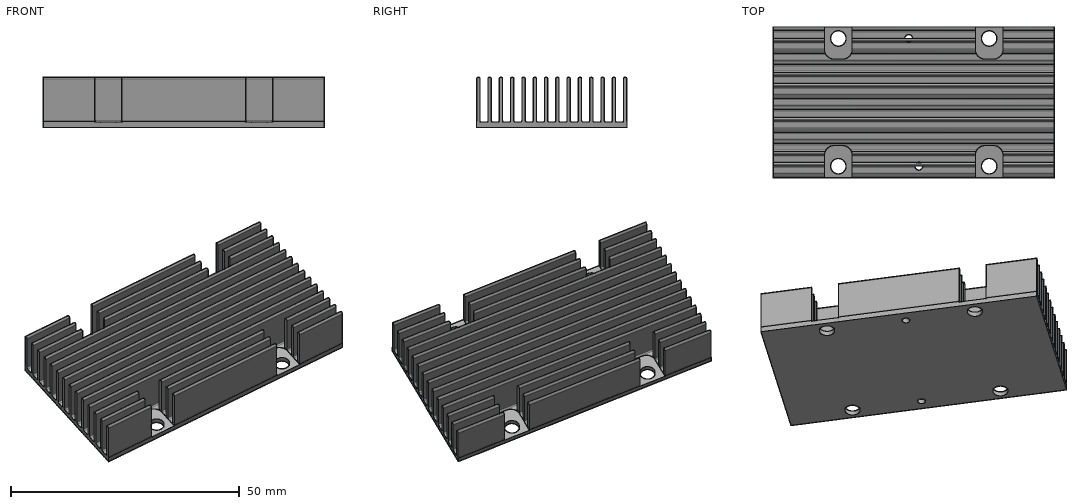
import cadquery as cq
import math

length = 61.5
width = 32.95
height = 11.0

floor_height = 1.2
fin_count = 14
edge_inset = 0.05
root_radius = 0.26
tip_radius = 0.375
tip_flat = 0.01
fin_thickness = 2 * tip_radius + tip_flat
fin_pitch = (width - 2 * edge_inset - fin_thickness) / (fin_count - 1)

screw_x = 16.5
hole_y = 13.95
screw_diameter = 3.3
pocket_width = 6.0
pocket_depth = 7.0
pocket_floor = 1.15
pocket_corner_radius = 2.0

pin_x = 1.1
pin_diameter = 1.65
pin_hole_depth = floor_height + root_radius


def fin(y):
    """One fin with a rounded tip and a concave fillet along each side of its root."""
    half = fin_thickness / 2
    root_half = half + root_radius
    root_top = floor_height + root_radius
    shoulder = height - tip_radius
    flat_half = tip_flat / 2
    bulge = root_radius * (1 - math.sqrt(0.5))
    tip_bulge = tip_radius * (1 - math.sqrt(0.5))
    profile = (
        cq.Workplane("YZ")
        .moveTo(y - root_half, 0)
        .lineTo(y - root_half, floor_height)
        .threePointArc((y - half - bulge, floor_height + bulge), (y - half, root_top))
        .lineTo(y - half, shoulder)
        .threePointArc((y - half + tip_bulge, height - tip_bulge), (y - flat_half, height))
        .lineTo(y + flat_half, height)
        .threePointArc((y + half - tip_bulge, height - tip_bulge), (y + half, shoulder))
        .lineTo(y + half, root_top)
        .threePointArc((y + half + bulge, floor_height + bulge), (y + root_half, floor_height))
        .lineTo(y + root_half, 0)
        .close()
    )
    return profile.extrude(length / 2, both=True)


def pocket(x, side):
    """Round-cornered clearance for a screw head; side is the sign of Y."""
    end_y = width / 2 - pocket_depth
    block_depth = 2 * pocket_depth
    return (
        cq.Workplane("XY", origin=(x, side * (end_y + block_depth / 2), pocket_floor))
        .rect(pocket_width, block_depth)
        .extrude(height)
        .edges("|Z")
        .fillet(pocket_corner_radius)
    )


def hole(x, y, diameter, depth):
    """Cylinder rising from the underside."""
    return cq.Workplane("XY", origin=(x, y, 0)).circle(diameter / 2).extrude(depth)


envelope = cq.Workplane("XY").box(length, width, height, centered=(True, True, False))
result = cq.Workplane("XY").box(length, width, floor_height, centered=(True, True, False))
first_fin_y = -fin_pitch * (fin_count - 1) / 2
for index in range(fin_count):
    result = result.union(fin(first_fin_y + index * fin_pitch))
result = result.intersect(envelope)

for side in (-1, 1):
    for x in (-screw_x, screw_x):
        result = result.cut(pocket(x, side))
        result = result.cut(hole(x, side * hole_y, screw_diameter, height))
    result = result.cut(hole(-side * pin_x, side * hole_y, pin_diameter, pin_hole_depth))